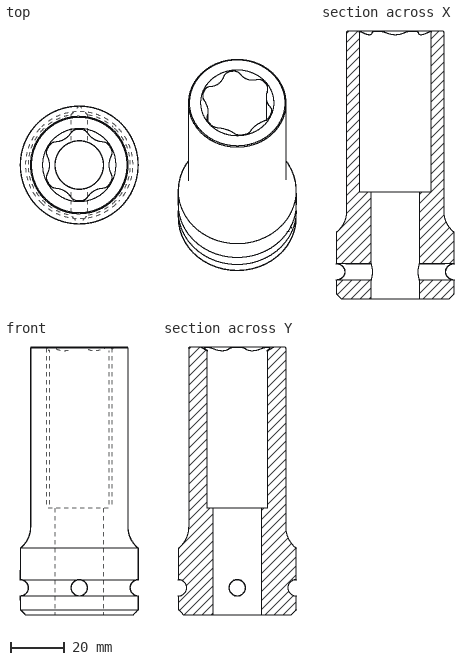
import cadquery as cq
import math

TOTAL_HEIGHT = 100.0
BASE_RADIUS = 22.0
BARREL_RADIUS = 18.2
BASE_CHAMFER = 2.0
RIM_CHAMFER = 0.4
SHOULDER_HEIGHT = 25.0
SHOULDER_FILLET = 10.0

GROOVE_HEIGHT = 10.2
GROOVE_RADIUS = 3.0
PIN_HOLE_RADIUS = 3.0

BORE_RADIUS = 9.0
LOBE_COUNT = 6
LOBE_TIP_RADIUS = 13.3
RIB_CREST_RADIUS = 11.1
RIB_ARC_RADIUS = 7.3
LOBE_CORNER_RADIUS = 3.0
DRIVE_DEPTH = 60.0
LEAD_IN_RADIUS = 13.65
LEAD_IN_ANGLE = 30.0


def polar(radius, angle):
    """Point at a distance and an angle in degrees from the part axis."""
    return (radius * math.cos(math.radians(angle)), radius * math.sin(math.radians(angle)))


def make_body():
    """Turned body: chamfered base, concave shoulder, slim barrel."""
    arc_center_radius = BARREL_RADIUS + SHOULDER_FILLET
    shoulder_rise = math.sqrt(SHOULDER_FILLET**2 - (arc_center_radius - BASE_RADIUS) ** 2)
    barrel_start = SHOULDER_HEIGHT + shoulder_rise
    half_sweep = math.asin(shoulder_rise / SHOULDER_FILLET) / 2
    arc_middle = (
        arc_center_radius - SHOULDER_FILLET * math.cos(half_sweep),
        barrel_start - SHOULDER_FILLET * math.sin(half_sweep),
    )
    profile = (
        cq.Workplane("XZ")
        .moveTo(0, 0)
        .lineTo(BASE_RADIUS - BASE_CHAMFER, 0)
        .lineTo(BASE_RADIUS, BASE_CHAMFER)
        .lineTo(BASE_RADIUS, SHOULDER_HEIGHT)
        .threePointArc(arc_middle, (BARREL_RADIUS, barrel_start))
        .lineTo(BARREL_RADIUS, TOTAL_HEIGHT - RIM_CHAMFER)
        .lineTo(BARREL_RADIUS - RIM_CHAMFER, TOTAL_HEIGHT)
        .lineTo(0, TOTAL_HEIGHT)
        .close()
    )
    return profile.revolve(360, (0, 0, 0), (0, 1, 0))


def make_groove():
    """Half-round ring groove centred on the base surface."""
    return cq.Workplane(cq.Solid.makeTorus(BASE_RADIUS, GROOVE_RADIUS, cq.Vector(0, 0, GROOVE_HEIGHT)))


def make_pin_hole():
    """Round hole across the base along Y, level with the groove."""
    return (
        cq.Workplane("XZ")
        .center(0, GROOVE_HEIGHT)
        .circle(PIN_HOLE_RADIUS)
        .extrude(BASE_RADIUS, both=True)
    )


def make_bore():
    """Round bore through the whole length."""
    return cq.Workplane("XY").circle(BORE_RADIUS).extrude(TOTAL_HEIGHT)


def make_drive():
    """Six-lobed pocket: convex ribs joined to the lobe tips by tangent corner arcs."""
    pitch = 360 / LOBE_COUNT
    rib_center = RIB_CREST_RADIUS + RIB_ARC_RADIUS
    corner_center = LOBE_TIP_RADIUS - LOBE_CORNER_RADIUS
    center_gap = RIB_ARC_RADIUS + LOBE_CORNER_RADIUS

    cosine = (rib_center**2 + corner_center**2 - center_gap**2) / (2 * rib_center * corner_center)
    corner_angle = math.degrees(math.acos(cosine))
    corner_x, corner_y = polar(corner_center, corner_angle)
    rib_slope = math.degrees(math.atan2(corner_y, rib_center - corner_x))

    rib_end_x, rib_end_y = polar(RIB_ARC_RADIUS, 180 - rib_slope)
    rib_end_x += rib_center
    rib_end_radius = math.hypot(rib_end_x, rib_end_y)
    rib_end_angle = math.degrees(math.atan2(rib_end_y, rib_end_x))

    middle_x, middle_y = polar(LOBE_CORNER_RADIUS, (corner_angle - rib_slope) / 2)
    middle_x += corner_x
    middle_y += corner_y
    middle_radius = math.hypot(middle_x, middle_y)
    middle_angle = math.degrees(math.atan2(middle_y, middle_x))

    outline = cq.Workplane("XY").workplane(offset=TOTAL_HEIGHT - DRIVE_DEPTH)
    outline = outline.moveTo(*polar(rib_end_radius, -rib_end_angle))
    for index in range(LOBE_COUNT):
        rib = index * pitch
        next_rib = rib + pitch
        outline = (
            outline.threePointArc(polar(RIB_CREST_RADIUS, rib), polar(rib_end_radius, rib + rib_end_angle))
            .threePointArc(
                polar(middle_radius, rib + middle_angle),
                polar(LOBE_TIP_RADIUS, rib + corner_angle),
            )
            .threePointArc(
                polar(LOBE_TIP_RADIUS, rib + pitch / 2),
                polar(LOBE_TIP_RADIUS, next_rib - corner_angle),
            )
            .threePointArc(
                polar(middle_radius, next_rib - middle_angle),
                polar(rib_end_radius, next_rib - rib_end_angle),
            )
        )
    return outline.close().extrude(DRIVE_DEPTH)


def make_lead_in():
    """Cone that opens the drive at the top rim."""
    cone_height = LEAD_IN_RADIUS * math.tan(math.radians(LEAD_IN_ANGLE))
    cone = cq.Solid.makeCone(0, LEAD_IN_RADIUS, cone_height, cq.Vector(0, 0, TOTAL_HEIGHT - cone_height))
    return cq.Workplane(cone)


result = (
    make_body()
    .cut(make_groove())
    .cut(make_bore())
    .cut(make_drive())
    .cut(make_lead_in())
    .cut(make_pin_hole())
)